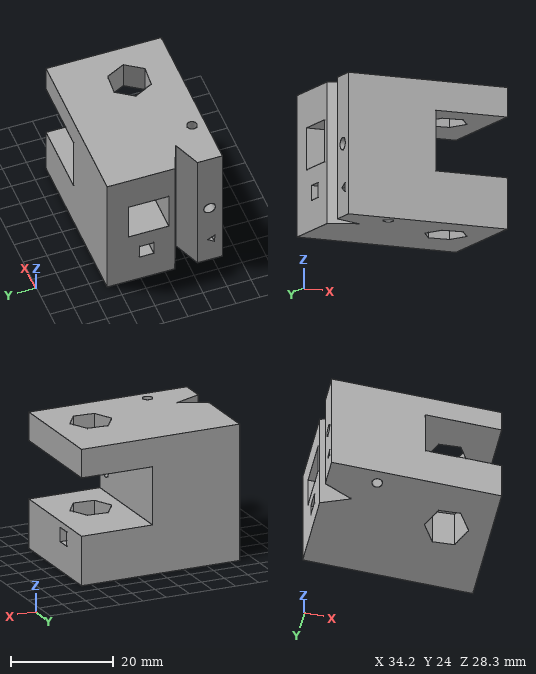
import cadquery as cq
import math

LENGTH, DEPTH, HEIGHT = 34.17, 24.02, 28.3

SLOT_START_X = 18.83
SLOT_BOTTOM_Z, SLOT_TOP_Z = 10.3, 22.35

GROOVE_CENTER_Y = 7.6
GROOVE_WIDTH = 4.7
GROOVE_DEPTH = 5.77

HEX_X, HEX_Y = 25.45, 9.88
HEX_RADIUS = 4.37
POLYGON_TILT = -4.3
PIN_HOLE_X = 9.8
PIN_HOLE_DIAMETER = 2.0

ROUND_HOLES_Y = 2.7
CROSS_HOLE_Z = 14.52
CROSS_HOLE_DIAMETER = 2.43
SMALL_SQUARE_SIDE = 2.97
SMALL_SQUARE_Y, SMALL_SQUARE_Z = 15.8, 7.52
POCKET_SIDE = 8.37
POCKET_Y, POCKET_Z = 15.38, 16.75
POCKET_DEPTH = 13.67
TRIANGLE_Y, TRIANGLE_Z = 2.12, 5.7
TRIANGLE_RADIUS = 1.0
TRIANGLE_DEPTH = 6.85


def regular_polygon(sides, radius, first_angle):
    """Corner points of a regular polygon centred on its own origin."""
    angles = [math.radians(first_angle + 360 * i / sides) for i in range(sides)]
    return [(radius * math.cos(a), radius * math.sin(a)) for a in angles]


def end_face(y, z):
    """Sketch plane on the -X face: local x follows -Y, local y follows Z."""
    plane = cq.Plane(origin=(0, y, z), xDir=(0, -1, 0), normal=(-1, 0, 0))
    return cq.Workplane(plane)


def floor(x, y):
    """Sketch plane on the bottom face, facing up."""
    return cq.Workplane("XY", origin=(x, y, 0))


block = cq.Workplane("XY").box(LENGTH, DEPTH, HEIGHT, centered=False)

slot = cq.Workplane("XY", origin=(SLOT_START_X, 0, SLOT_BOTTOM_Z)).box(
    LENGTH - SLOT_START_X, DEPTH, SLOT_TOP_Z - SLOT_BOTTOM_Z, centered=False
)

groove_corners = [(0, -GROOVE_WIDTH / 2), (GROOVE_DEPTH, 0), (0, GROOVE_WIDTH / 2)]
groove = floor(0, GROOVE_CENTER_Y).polyline(groove_corners).close().extrude(HEIGHT)

hexagon = regular_polygon(6, HEX_RADIUS, POLYGON_TILT)
hex_hole = floor(HEX_X, HEX_Y).polyline(hexagon).close().extrude(HEIGHT)

pin_hole = floor(PIN_HOLE_X, ROUND_HOLES_Y).circle(PIN_HOLE_DIAMETER / 2).extrude(HEIGHT)

cross_hole = (
    end_face(ROUND_HOLES_Y, CROSS_HOLE_Z).circle(CROSS_HOLE_DIAMETER / 2).extrude(-LENGTH)
)
small_square = (
    end_face(SMALL_SQUARE_Y, SMALL_SQUARE_Z)
    .rect(SMALL_SQUARE_SIDE, SMALL_SQUARE_SIDE)
    .extrude(-LENGTH)
)
pocket = end_face(POCKET_Y, POCKET_Z).rect(POCKET_SIDE, POCKET_SIDE).extrude(-POCKET_DEPTH)

triangle = regular_polygon(3, TRIANGLE_RADIUS, 180 + POLYGON_TILT)
triangle_pocket = (
    end_face(TRIANGLE_Y, TRIANGLE_Z).polyline(triangle).close().extrude(-TRIANGLE_DEPTH)
)

result = block
for cutter in (slot, groove, hex_hole, pin_hole, cross_hole, small_square, pocket, triangle_pocket):
    result = result.cut(cutter)